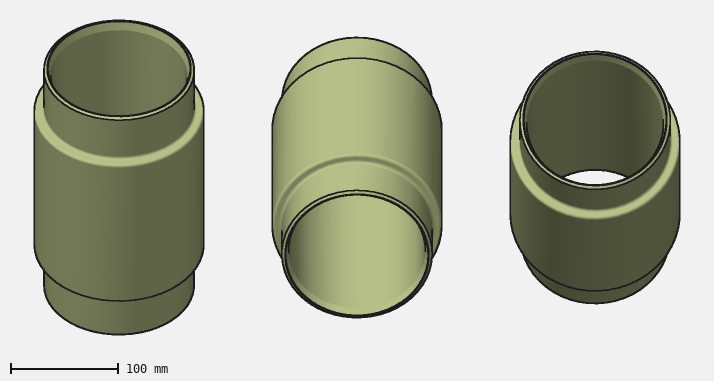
import cadquery as cq
import math

total_length = 270.0
body_length = 170.0
body_radius = 78.95
neck_radius = 69.85
bore_radius = 63.5
blend_radius = 3.0

bevel_width = 3.0
bevel_height = 1.8
land_width = 0.7
lead_in_depth = 8.5

half_length = total_length / 2
shoulder_height = body_length / 2
land_outer_radius = neck_radius - bevel_width
land_inner_radius = land_outer_radius - land_width

height_tolerance = 0.01


def wall_profile():
    """Sharp-cornered section of the wall in the XZ plane, bevels and lead-ins included."""
    upper_half = [
        (body_radius, shoulder_height),
        (neck_radius, shoulder_height),
        (neck_radius, half_length - bevel_height),
        (land_outer_radius, half_length),
        (land_inner_radius, half_length),
        (bore_radius, half_length - lead_in_depth),
    ]
    lower_half = [(radius, -height) for radius, height in reversed(upper_half)]
    return cq.Workplane("XZ").polyline(upper_half + lower_half).close()


def is_shoulder_circle(edge):
    """True for the rim and the neck corner of either shoulder."""
    return math.isclose(abs(edge.Center().z), shoulder_height, abs_tol=height_tolerance)


sleeve = wall_profile().revolve(360, (0, 0), (0, 1))
shoulder_circles = sleeve.edges("%CIRCLE").filter(is_shoulder_circle)
result = shoulder_circles.fillet(blend_radius)